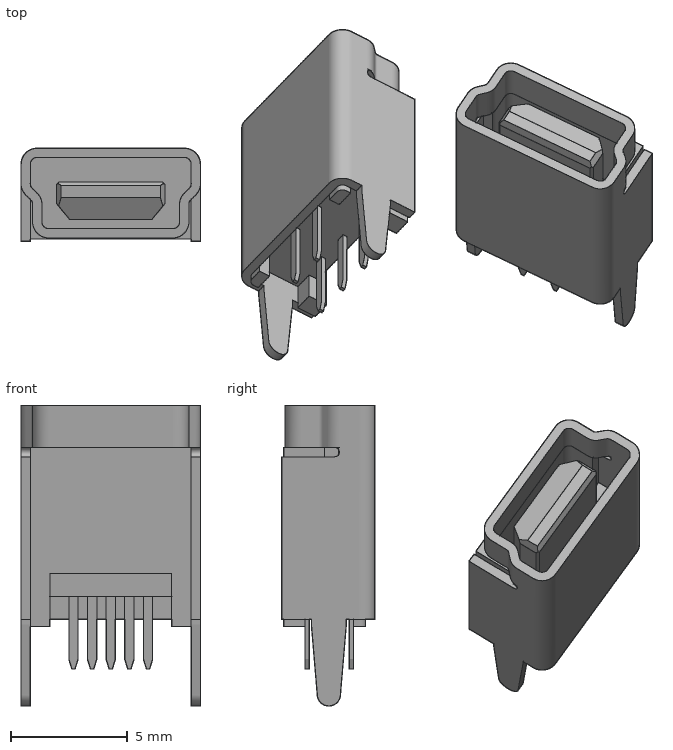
import cadquery as cq
import math

WIDTH = 7.7
DEPTH = 4.0
HEIGHT = 12.9
BACK_Y = DEPTH / 2

SHEET = 0.4
CORNER_RADIUS = 0.7
WAIST_RADIUS = 0.22
SHOULDER_Y = 0.19
SHOULDER_ANGLE = 45.0
WAIST_WIDTH = 6.71
MOUTH_FRONT_Y = -1.86
MOUTH_BOTTOM_Z = 11.1
SHELL_BOTTOM_Z = 3.72
SLOT_HEIGHT = 0.4
SLOT_END_Y = 0.48

LEG_Y = 0.03
LEG_WIDTH = 1.51
LEG_TIP_RADIUS = 0.5
LEG_TAPER_TOP_Z = 3.5

HOUSING_FRONT_Y = -1.91
HOUSING_BOTTOM_Z = 3.4
CAVITY_FLOOR_Z = 7.74
CHEEK_BACK_Y = -0.17
CHANNEL_WIDTH = 5.21
CHANNEL_TOP_Z = 4.71
FOOT_GAP_FRONT_Y = -0.99
FOOT_GAP_BACK_Y = 1.08
NOTCH_TOP_Z = 5.69
NOTCH_DEPTH = 0.46

TONGUE_WIDTH = 4.65
TONGUE_BACK_Y = 0.54
TONGUE_FRONT_Y = -1.07
TONGUE_FRONT_WIDTH = 3.51
TONGUE_SIDE_FRONT_Y = -0.39
TONGUE_TOP_Z = 11.97
TONGUE_BACK_BEVEL = 0.1
TIP_INSET = 0.15
TIP_SIDE_INSET = 0.19
TIP_RISE = 0.28
TIP_EDGE_Y = -0.12
RAMP_RISE = 0.41

PIN_COUNT = 5
PIN_PITCH = 0.8
PIN_WIDTH = 0.4
PIN_THICKNESS = 0.19
PIN_TIP_WIDTH = 0.14
PIN_BOTTOM_Z = 1.59
PIN_TAPER_TOP_Z = 2.0
FRONT_ROW_Y = -0.9
BACK_ROW_Y = 0.99

EDGE_TOLERANCE = 0.001

INNER_WIDTH = WIDTH - 2 * SHEET
INNER_BACK_Y = BACK_Y - SHEET
INNER_CORNER_RADIUS = CORNER_RADIUS - SHEET


def block(width, y_front, y_back, z_bottom, z_top):
    """Box centred on X = 0 between the given Y and Z limits."""
    return (
        cq.Workplane("XY", origin=(0, (y_front + y_back) / 2, z_bottom))
        .box(width, y_back - y_front, z_top - z_bottom, centered=(True, True, False))
    )


def mirrored_outline(half_points, z):
    """Closed outline at height z from the points of its +X half."""
    left_half = [(-x, y) for x, y in reversed(half_points)]
    return cq.Workplane("XY", origin=(0, 0, z)).polyline(half_points + left_half).close()


def mouth_block(z_bottom, z_top, inset=0):
    """Solid with the outline of the mouth, moved inwards by inset: wide at the back, narrow at the front."""
    back_half_width = WIDTH / 2 - inset
    front_half_width = WAIST_WIDTH / 2 - inset
    shoulder_y = SHOULDER_Y + inset * math.tan(math.radians(SHOULDER_ANGLE / 2))
    narrowing = back_half_width - front_half_width
    waist_y = shoulder_y - narrowing / math.tan(math.radians(SHOULDER_ANGLE))
    half_points = [
        (back_half_width, BACK_Y - inset),
        (back_half_width, shoulder_y),
        (front_half_width, waist_y),
        (front_half_width, MOUTH_FRONT_Y + inset),
    ]
    body = mirrored_outline(half_points, z_bottom).extrude(z_top - z_bottom)

    def upright_edges_at(*corners_y):
        """Vertical edges of the body at any of the given Y positions."""
        return [
            edge for edge in body.edges("|Z").vals()
            if any(math.isclose(edge.Center().y, y, abs_tol=EDGE_TOLERANCE) for y in corners_y)
        ]

    outer_corners = upright_edges_at(BACK_Y - inset, shoulder_y, MOUTH_FRONT_Y + inset)
    body = body.newObject(outer_corners).fillet(CORNER_RADIUS - inset)
    return body.newObject(upright_edges_at(waist_y)).fillet(WAIST_RADIUS + inset)


def mouth_opening(z_bottom, z_top):
    """Solid filling the inside of the mouth, one sheet thickness within its outline."""
    return mouth_block(z_bottom, z_top, SHEET)


def mouth_ring():
    outer = mouth_block(MOUTH_BOTTOM_Z, HEIGHT)
    return outer.cut(mouth_opening(MOUTH_BOTTOM_Z, HEIGHT))


def wrap():
    """Back wall and side flaps of the shell, open to the front."""
    outer = block(WIDTH, -BACK_Y, BACK_Y, SHELL_BOTTOM_Z, MOUTH_BOTTOM_Z)
    outer = outer.edges("|Z and >Y").fillet(CORNER_RADIUS)
    inner = block(INNER_WIDTH, -BACK_Y, INNER_BACK_Y, SHELL_BOTTOM_Z, MOUTH_BOTTOM_Z)
    inner = inner.edges("|Z and >Y").fillet(INNER_CORNER_RADIUS)
    return outer.cut(inner)


def side_slots():
    """Round-ended cut through both side flaps just below the mouth."""
    slot_bottom_z = MOUTH_BOTTOM_Z - SLOT_HEIGHT
    slot_mid_z = MOUTH_BOTTOM_Z - SLOT_HEIGHT / 2
    arc_start_y = SLOT_END_Y - SLOT_HEIGHT / 2
    return (
        cq.Workplane("YZ")
        .moveTo(-BACK_Y, slot_bottom_z)
        .lineTo(arc_start_y, slot_bottom_z)
        .threePointArc((SLOT_END_Y, slot_mid_z), (arc_start_y, MOUTH_BOTTOM_Z))
        .lineTo(-BACK_Y, MOUTH_BOTTOM_Z)
        .close()
        .extrude(WIDTH / 2, both=True)
    )


def leg(x_start):
    """Tapered solder leg with a round tip, one sheet thick from x_start."""
    half_width = LEG_WIDTH / 2
    return (
        cq.Workplane("YZ", origin=(x_start, LEG_Y, 0))
        .moveTo(half_width, SHELL_BOTTOM_Z)
        .lineTo(half_width, LEG_TAPER_TOP_Z)
        .lineTo(LEG_TIP_RADIUS, LEG_TIP_RADIUS)
        .threePointArc((0, 0), (-LEG_TIP_RADIUS, LEG_TIP_RADIUS))
        .lineTo(-half_width, LEG_TAPER_TOP_Z)
        .lineTo(-half_width, SHELL_BOTTOM_Z)
        .close()
        .extrude(SHEET)
    )


def make_shell():
    body = wrap().union(mouth_ring()).cut(side_slots())
    for leg_x in (-WIDTH / 2, INNER_WIDTH / 2):
        body = body.union(leg(leg_x))
    return body


def housing_block():
    """Block filling the wrap, with the plug cavity, the underside channel and the front notch."""
    body = block(INNER_WIDTH, HOUSING_FRONT_Y, INNER_BACK_Y, HOUSING_BOTTOM_Z, MOUTH_BOTTOM_Z)
    body = body.edges("|Z and >Y").fillet(INNER_CORNER_RADIUS)
    body = body.cut(mouth_opening(CAVITY_FLOOR_Z, MOUTH_BOTTOM_Z))
    body = body.cut(block(INNER_WIDTH, CHEEK_BACK_Y, BACK_Y, CAVITY_FLOOR_Z, MOUTH_BOTTOM_Z))
    body = body.cut(block(CHANNEL_WIDTH, -BACK_Y, BACK_Y, HOUSING_BOTTOM_Z, CHANNEL_TOP_Z))
    foot_gap = block(INNER_WIDTH, FOOT_GAP_FRONT_Y, FOOT_GAP_BACK_Y, HOUSING_BOTTOM_Z, CHANNEL_TOP_Z)
    body = body.cut(foot_gap)
    notch_back_y = HOUSING_FRONT_Y + NOTCH_DEPTH
    return body.cut(block(CHANNEL_WIDTH, -BACK_Y, notch_back_y, CHANNEL_TOP_Z, NOTCH_TOP_Z))


def tongue():
    """Contact tongue standing on the cavity floor, with a chamfered and ramped tip."""
    half_points = [
        (TONGUE_WIDTH / 2 - TONGUE_BACK_BEVEL, TONGUE_BACK_Y),
        (TONGUE_WIDTH / 2, TONGUE_BACK_Y - TONGUE_BACK_BEVEL),
        (TONGUE_WIDTH / 2, TONGUE_SIDE_FRONT_Y),
        (TONGUE_FRONT_WIDTH / 2, TONGUE_FRONT_Y),
    ]
    body = mirrored_outline(half_points, CAVITY_FLOOR_Z).extrude(TONGUE_TOP_Z - CAVITY_FLOOR_Z)

    tip_in_depth = (
        cq.Workplane("YZ")
        .polyline([
            (TONGUE_BACK_Y, CAVITY_FLOOR_Z),
            (TONGUE_BACK_Y, TONGUE_TOP_Z - TIP_RISE),
            (TONGUE_BACK_Y - TIP_INSET, TONGUE_TOP_Z),
            (TIP_EDGE_Y, TONGUE_TOP_Z),
            (TONGUE_FRONT_Y, TONGUE_TOP_Z - RAMP_RISE),
            (TONGUE_FRONT_Y, CAVITY_FLOOR_Z),
        ])
        .close()
        .extrude(TONGUE_WIDTH / 2, both=True)
    )

    half_tip = [
        (TONGUE_WIDTH / 2, CAVITY_FLOOR_Z),
        (TONGUE_WIDTH / 2, TONGUE_TOP_Z - TIP_RISE),
        (TONGUE_WIDTH / 2 - TIP_SIDE_INSET, TONGUE_TOP_Z),
    ]
    tip_in_width = (
        cq.Workplane("XZ")
        .polyline(half_tip + [(-x, z) for x, z in reversed(half_tip)])
        .close()
        .extrude(DEPTH / 2, both=True)
    )
    return body.intersect(tip_in_depth).intersect(tip_in_width)


def pin(x, y):
    """Flat contact pin with a tapered tip, hanging from the top of the channel."""
    half_points = [
        (PIN_WIDTH / 2, CHANNEL_TOP_Z),
        (PIN_WIDTH / 2, PIN_TAPER_TOP_Z),
        (PIN_TIP_WIDTH / 2, PIN_BOTTOM_Z),
    ]
    return (
        cq.Workplane("XZ", origin=(x, y, 0))
        .polyline(half_points + [(-px, pz) for px, pz in reversed(half_points)])
        .close()
        .extrude(PIN_THICKNESS / 2, both=True)
    )


def make_housing():
    """Insulator with its tongue and the two staggered rows of contact pins."""
    body = housing_block().union(tongue())
    for index in range(PIN_COUNT):
        x = (index - (PIN_COUNT - 1) / 2) * PIN_PITCH
        y = FRONT_ROW_Y if index % 2 == 0 else BACK_ROW_Y
        body = body.union(pin(x, y))
    return body


shell = make_shell()
housing = make_housing()
result = cq.Compound.makeCompound([shell.val(), housing.val()])